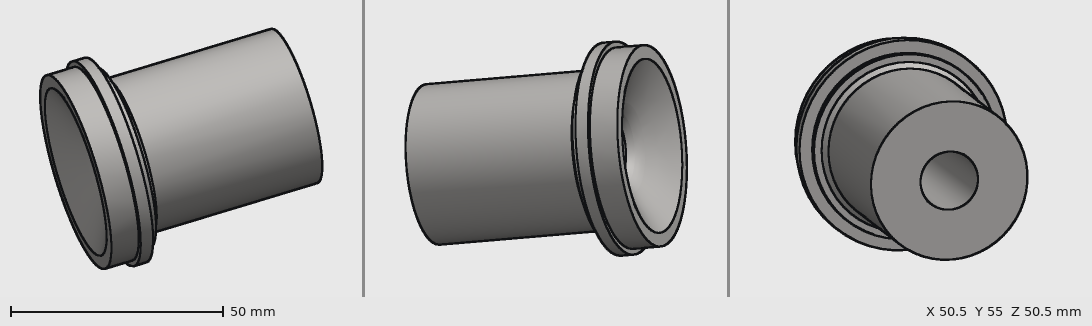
import cadquery as cq

length = 54.95
rim_radius = 47.7 / 2
rim_end = 6.85
flange_radius = 50.45 / 2
flange_end = rim_end + 3.15
collar_radius = 44.35 / 2
collar_end = flange_end + 1.85
shoulder_radius = 40.65 / 2
shoulder_end = collar_end + 1.4
tube_radius = 38.0 / 2

mouth_radius = 41.2 / 2
mouth_depth = 5.6
mouth_end_radius = 21.05 / 2
throat_radius = 16.5 / 2
throat_depth = 7.3
bore_radius = 13.95 / 2
bore_start = 9.1

half_section = (
    cq.Workplane("XY")
    .moveTo(mouth_radius, 0)
    .lineTo(mouth_end_radius, mouth_depth)
    .tangentArcPoint((throat_radius, throat_depth), relative=False)
    .tangentArcPoint((bore_radius, bore_start), relative=False)
    .lineTo(bore_radius, length)
    .lineTo(tube_radius, length)
    .lineTo(tube_radius, shoulder_end)
    .lineTo(shoulder_radius, collar_end)
    .lineTo(collar_radius, collar_end)
    .lineTo(collar_radius, flange_end)
    .lineTo(flange_radius, flange_end)
    .lineTo(flange_radius, rim_end)
    .lineTo(rim_radius, rim_end)
    .lineTo(rim_radius, 0)
    .close()
)

result = half_section.revolve(360, (0, 0, 0), (0, 1, 0))